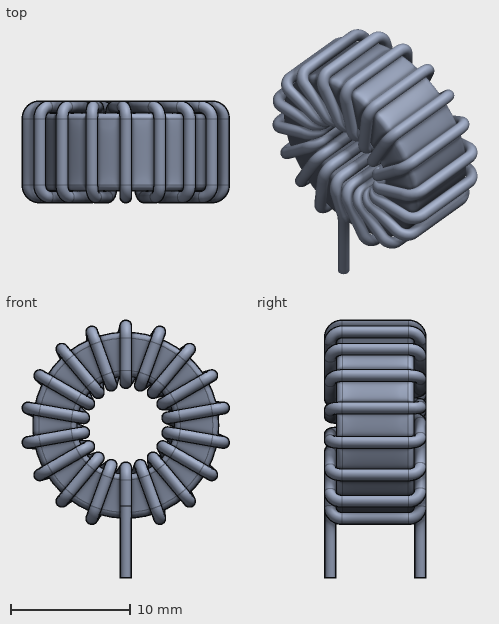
import cadquery as cq
import math

core_diameter = 15.6
bore_diameter = 8.2
core_width = 6.5
core_edge_radius = 0.5

wire_diameter = 1.0
bend_radius = wire_diameter
turn_count = 18
winding_offset = 0.52
bottom_angle = 270.0

lead_diameter = 0.95
lead_start_z = -6.77
lead_end_z = -12.8
back_bend_z = -6.49

turn_pitch = 360.0 / turn_count
outer_run_radius = core_diameter / 2 + winding_offset
inner_run_radius = bore_diameter / 2 - winding_offset
back_y = core_width / 2 + winding_offset
front_y = -back_y


def make_core():
    ring = (
        cq.Workplane("XZ")
        .circle(core_diameter / 2)
        .circle(bore_diameter / 2)
        .extrude(core_width)
        .translate((0, core_width / 2, 0))
    )
    return ring.edges().fillet(core_edge_radius)


def polar_point(radius, angle, y):
    """Point at the given radius and angle (degrees) around the core axis."""
    turned = math.radians(angle)
    return cq.Vector(radius * math.cos(turned), y, radius * math.sin(turned))


def winding_corners():
    """Sharp corners of the wire centreline, from the front lead to the back lead."""
    corners = [cq.Vector(0, front_y, lead_start_z)]
    for turn in range(turn_count):
        inner_angle = bottom_angle - turn * turn_pitch
        corners.append(polar_point(inner_run_radius, inner_angle, front_y))
        corners.append(polar_point(inner_run_radius, inner_angle, back_y))
        if turn < turn_count - 1:
            outer_angle = inner_angle - turn_pitch
            corners.append(polar_point(outer_run_radius, outer_angle, back_y))
            corners.append(polar_point(outer_run_radius, outer_angle, front_y))
    corners.append(cq.Vector(0, back_y, back_bend_z))
    corners.append(cq.Vector(0, back_y, lead_start_z))
    return corners


def rounded_path(corners):
    """Straight runs through the corners, joined by tangent arcs of the bend radius."""
    edges = []
    run_start = corners[0]
    for before, corner, after in zip(corners, corners[1:], corners[2:]):
        incoming = (corner - before).normalized()
        outgoing = (after - corner).normalized()
        half_turn = incoming.getAngle(outgoing) / 2
        setback = bend_radius * math.tan(half_turn)
        bend_start = corner - incoming * setback
        bend_end = corner + outgoing * setback
        toward_centre = (outgoing - incoming).normalized()
        corner_gap = bend_radius / math.cos(half_turn) - bend_radius
        bend_middle = corner + toward_centre * corner_gap
        edges.append(cq.Edge.makeLine(run_start, bend_start))
        edges.append(cq.Edge.makeThreePointArc(bend_start, bend_middle, bend_end))
        run_start = bend_end
    edges.append(cq.Edge.makeLine(run_start, corners[-1]))
    return cq.Wire.assembleEdges(edges)


def make_lead(y):
    return (
        cq.Workplane("XY", origin=(0, y, lead_end_z))
        .circle(lead_diameter / 2)
        .extrude(lead_start_z - lead_end_z)
    )


def make_winding():
    winding = (
        cq.Workplane("XY", origin=(0, front_y, lead_start_z))
        .circle(wire_diameter / 2)
        .sweep(rounded_path(winding_corners()))
    )
    for lead_y in (front_y, back_y):
        winding = winding.union(make_lead(lead_y))
    return winding


core = make_core()
winding = make_winding()

result = cq.Compound.makeCompound([core.solids().val(), winding.solids().val()])